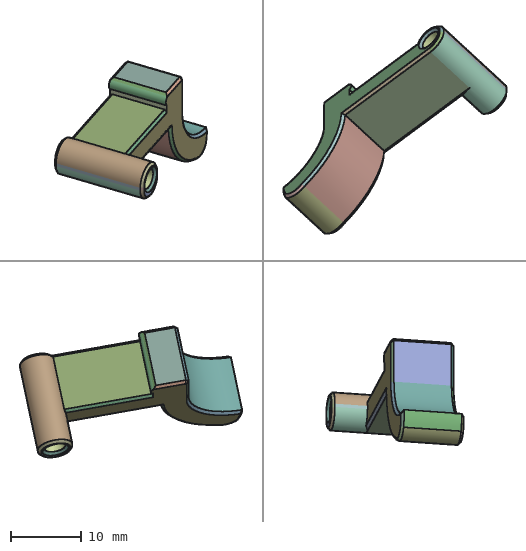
import cadquery as cq

body_width = 9.1
barrel_length = 14.2
hole_diameter = 3.0
barrel_radius = 2.5
edge_chamfer = 0.4
arm_top = 0.98
arm_bottom = -3.0

head_top = 3.65
head_front = 15.1
head_back = 20.3
nose_width = 0.45
nose_chamfer = 0.37
bead_center = 2.47
bead_reach = 0.35
bead_half_height = 0.7

hook_front = 16.25
outer_middle = (19.25, -10.15)
outer_end = (24.05, -13.38)
tip_bottom = (25.7, -13.8)
tip_side = (27.6, -12.67)
tip_bulge = (27.95, -11.42)
tip_top = (28.05, -10.17)
inner_middle = (23.1, -8.3)


def make_body():
    """Arm, beaded head and hook as one side profile with chamfered sides."""
    body = (
        cq.Workplane("YZ")
        .moveTo(0, arm_bottom)
        .lineTo(0, arm_top)
        .lineTo(head_front, arm_top)
        .lineTo(head_front, bead_center - bead_half_height)
        .threePointArc(
            (head_front - bead_reach, bead_center),
            (head_front + nose_width - nose_chamfer, head_top - nose_chamfer),
        )
        .lineTo(head_front + nose_width, head_top)
        .lineTo(head_back - edge_chamfer, head_top)
        .lineTo(head_back, head_top - edge_chamfer)
        .lineTo(head_back, arm_bottom)
        .threePointArc(inner_middle, tip_top)
        .threePointArc(tip_bulge, tip_side)
        .threePointArc(tip_bottom, outer_end)
        .threePointArc(outer_middle, (hook_front, arm_bottom))
        .close()
        .extrude(body_width)
    )

    def is_broken_edge(edge):
        """The bead, the step under it and the end inside the barrel stay sharp."""
        center = edge.Center()
        on_bead_side = center.y < head_front + nose_width and center.z > arm_top
        inside_barrel = center.y < edge_chamfer
        return not (on_bead_side or inside_barrel)

    side_edges = body.faces("<X or >X").edges().vals()
    return body.newObject([e for e in side_edges if is_broken_edge(e)]).chamfer(edge_chamfer)


def make_barrel():
    """Round-topped barrel whose rounded underside is level with the arm."""
    lower_center = arm_bottom + barrel_radius
    return (
        cq.Workplane("YZ")
        .moveTo(-barrel_radius, lower_center)
        .lineTo(-barrel_radius, 0)
        .threePointArc((0, barrel_radius), (barrel_radius, 0))
        .lineTo(barrel_radius, lower_center)
        .threePointArc((0, arm_bottom), (-barrel_radius, lower_center))
        .close()
        .extrude(barrel_length)
        .faces("<X or >X")
        .chamfer(edge_chamfer)
    )


def make_hole():
    """Through hole with a countersink at both ends of the barrel."""
    hole_radius = hole_diameter / 2
    mouth_radius = hole_radius + edge_chamfer
    return (
        cq.Workplane("XY")
        .lineTo(0, mouth_radius)
        .lineTo(edge_chamfer, hole_radius)
        .lineTo(barrel_length - edge_chamfer, hole_radius)
        .lineTo(barrel_length, mouth_radius)
        .lineTo(barrel_length, 0)
        .close()
        .revolve(360, (0, 0, 0), (1, 0, 0))
    )


result = make_body().union(make_barrel()).cut(make_hole())